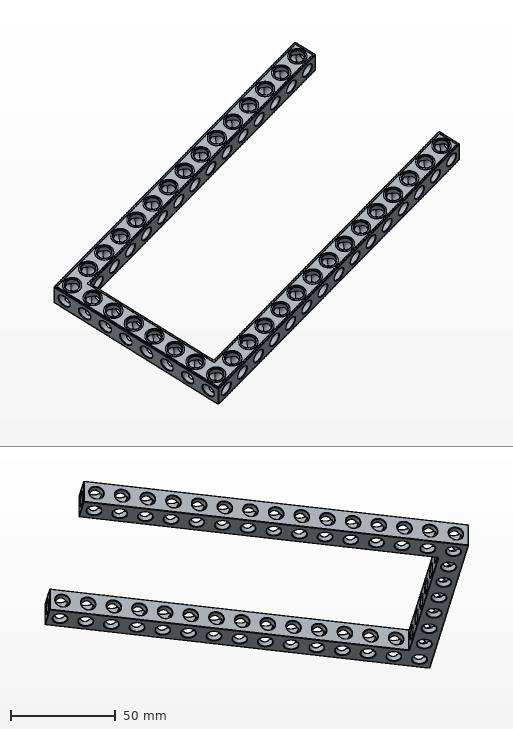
import cadquery as cq

length = 187.5
holes_per_arm = 15
holes_per_base = 8
collar_diameter = 9.2
collar_width = 1.09
rim_width = 1.05
recess_depth = 0.25
edge_break = 0.3

pitch = length / holes_per_arm
width = holes_per_base * pitch
mid_height = pitch / 2
hole_diameter = collar_diameter - 2 * collar_width

columns = [(i + 0.5) * pitch for i in range(holes_per_base)]
rows = [(j + 0.5) * pitch for j in range(holes_per_arm)]
left_column, *middle_columns, right_column = columns
base_row, *arm_rows = rows
upright_centres = [(x, y) for x in (left_column, right_column) for y in rows]
upright_centres += [(x, base_row) for x in middle_columns]


def u_prism(inset, height):
    """U-shaped prism standing on Z = 0, its sides moved inwards by the inset."""
    outline = [
        (inset, inset),
        (width - inset, inset),
        (width - inset, length - inset),
        (width - pitch + inset, length - inset),
        (width - pitch + inset, pitch - inset),
        (pitch - inset, pitch - inset),
        (pitch - inset, length - inset),
        (inset, length - inset),
    ]
    return cq.Workplane("XY").polyline(outline).close().extrude(height)


def upper_recess():
    """Shallow pocket in the upper face that leaves the rim and the hole collars standing."""
    collars = (
        cq.Workplane("XY")
        .pushPoints(upright_centres)
        .circle(collar_diameter / 2)
        .extrude(recess_depth)
    )
    pocket = u_prism(rim_width, recess_depth).cut(collars)
    return pocket.translate((0, 0, pitch - recess_depth)).val()


def bore(start, direction, depth):
    """Cutter for a straight hole with both mouths chamfered, from start along direction."""
    radius = hole_diameter / 2
    mouth_radius = radius + edge_break
    profile = [
        (0, 0),
        (mouth_radius, 0),
        (radius, edge_break),
        (radius, depth - edge_break),
        (mouth_radius, depth),
        (0, depth),
    ]
    upright = cq.Workplane("XZ").polyline(profile).close().revolve(360, (0, 0), (0, 1)).val()
    return upright.moved(cq.Location(cq.Plane(origin=start, normal=direction)))


def upright_bores():
    return [bore((x, y, 0), (0, 0, 1), pitch) for x, y in upright_centres]


def bores_along_x():
    """Crosswise through each arm, and one lengthwise through the base."""
    arm_sides = (0, width - pitch)
    crosswise = [bore((x, y, mid_height), (1, 0, 0), pitch) for x in arm_sides for y in arm_rows]
    lengthwise = bore((0, base_row, mid_height), (1, 0, 0), width)
    return crosswise + [lengthwise]


def bores_along_y():
    """Crosswise through the base, and one lengthwise through each arm."""
    crosswise = [bore((x, 0, mid_height), (0, 1, 0), pitch) for x in middle_columns]
    lengthwise = [bore((x, 0, mid_height), (0, 1, 0), length) for x in (left_column, right_column)]
    return crosswise + lengthwise


frame = u_prism(0, pitch).edges().chamfer(edge_break).val()
cutters = upright_bores() + bores_along_x() + bores_along_y() + [upper_recess()]
result = cq.Workplane(frame.cut(*cutters)).solids()